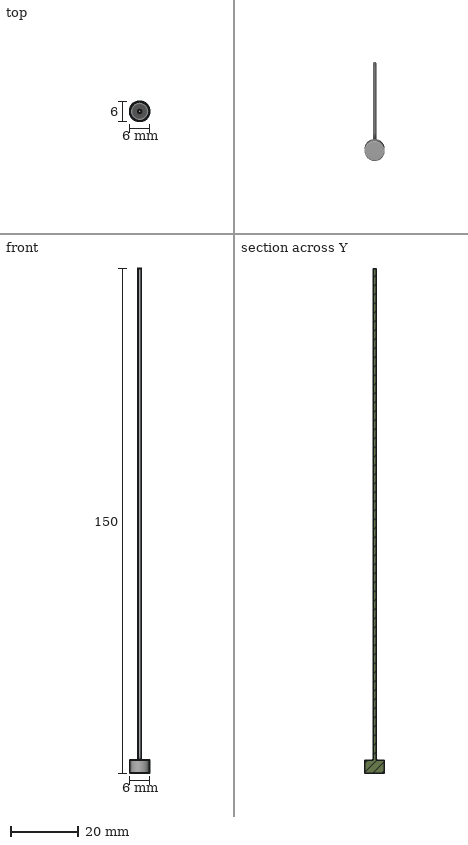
import cadquery as cq
import math

total_length = 150.0
head_diameter = 6.0
head_height = 4.0
head_chamfer = 0.2
rod_diameter = 1.0
root_fillet = 0.25

head_radius = head_diameter / 2
head_face_radius = head_radius - head_chamfer
rod_radius = rod_diameter / 2
root_radius = rod_radius + root_fillet

root_arc_drop = root_fillet * math.sin(math.radians(45))
root_arc_middle = (-(root_radius - root_arc_drop), head_height + root_fillet - root_arc_drop)


def make_half_section():
    """Half section of the pin on the -X side of its axis, with the head standing on Z = 0."""
    return (
        cq.Workplane("XZ")
        .lineTo(-head_face_radius, 0)
        .lineTo(-head_radius, head_chamfer)
        .lineTo(-head_radius, head_height - head_chamfer)
        .lineTo(-head_face_radius, head_height)
        .lineTo(-root_radius, head_height)
        .threePointArc(root_arc_middle, (-rod_radius, head_height + root_fillet))
        .lineTo(-rod_radius, total_length)
        .lineTo(0, total_length)
        .close()
    )


result = make_half_section().revolve(360, (0, 0, 0), (0, 1, 0))